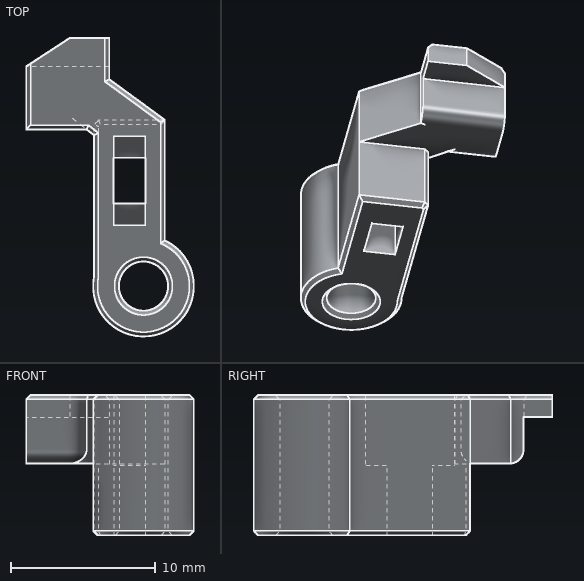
import cadquery as cq
import math

LENGTH = 20.75
WIDTH = 11.67
HEIGHT = 9.75
CHAMFER = 0.31
TOLERANCE = 0.002

RING_RADIUS = 3.5
HOLE_DIAMETER = 3.4

ARM_LEFT = -3.45
ARM_RIGHT = 1.5
ARM_BACK = 11.55

HEAD_DEPTH = 4.77
HEAD_FRONT = 10.88
HEAD_BACK = 15.25
HEAD_FILLET = 1.0
TONGUE_THICKNESS = 1.54
TONGUE_LEFT = -5.1
HEAD_RIGHT = -2.37
SHOULDER_BACK = 14.37
GUSSET_LEFT = -3.95
GUSSET_FRONT = 10.48
head_left = RING_RADIUS - WIDTH
tongue_back = LENGTH - RING_RADIUS

SLOT_LEFT = -2.08
SLOT_WIDTH = 2.2
SLOT_LENGTH = 6.19
SLOT_CENTER_Y = 7.33
SLOT_THROUGH_LENGTH = 3.18
SLOT_DEPTH = HEIGHT / 2


def hang_from_top(points, depth):
    """Extrude an outline downwards from the top face."""
    return cq.Workplane("XY").workplane(offset=HEIGHT - depth).polyline(points).close().extrude(depth)


def make_arm():
    """Full-height arm with a chamfered rear left corner."""
    arm = hang_from_top(
        [(ARM_LEFT, 0), (ARM_RIGHT, 0), (ARM_RIGHT, ARM_BACK), (ARM_LEFT, ARM_BACK)],
        HEIGHT,
    )
    ring = cq.Workplane("XY").circle(RING_RADIUS).extrude(HEIGHT)
    return arm.edges("|Z and <X and >Y").chamfer(CHAMFER).union(ring)


def make_head():
    """Head block with rounded lower edges, gusset and shoulder."""
    block = hang_from_top(
        [(head_left, HEAD_FRONT), (HEAD_RIGHT, HEAD_FRONT), (HEAD_RIGHT, HEAD_BACK), (head_left, HEAD_BACK)],
        HEAD_DEPTH,
    )
    block = block.edges("|X and <Z").fillet(HEAD_FILLET)

    gusset_slope = (GUSSET_LEFT - ARM_LEFT) / (HEAD_FRONT - GUSSET_FRONT)
    gusset_back = HEAD_FRONT + HEAD_FILLET
    gusset_back_x = ARM_LEFT + gusset_slope * (gusset_back - GUSSET_FRONT)
    root = hang_from_top(
        [
            (ARM_LEFT, GUSSET_FRONT),
            (ARM_RIGHT, GUSSET_FRONT),
            (ARM_RIGHT, ARM_BACK),
            (HEAD_RIGHT, SHOULDER_BACK),
            (gusset_back_x, SHOULDER_BACK - HEAD_FILLET),
            (gusset_back_x, gusset_back),
        ],
        HEAD_DEPTH,
    )
    tongue = hang_from_top(
        [
            (head_left, HEAD_FRONT),
            (HEAD_RIGHT, HEAD_FRONT),
            (HEAD_RIGHT, tongue_back),
            (TONGUE_LEFT, tongue_back),
            (head_left, HEAD_BACK),
        ],
        TONGUE_THICKNESS,
    )
    return block.union(root).union(tongue)


def cut_slot(body):
    """Wide pocket from the top with a shorter opening through its floor."""
    center_x = SLOT_LEFT + SLOT_WIDTH / 2
    for length, depth in ((SLOT_LENGTH, SLOT_DEPTH), (SLOT_THROUGH_LENGTH, HEIGHT)):
        cutter = (
            cq.Workplane("XY")
            .workplane(offset=HEIGHT - depth)
            .center(center_x, SLOT_CENTER_Y)
            .rect(SLOT_WIDTH, length)
            .extrude(depth)
        )
        body = body.cut(cutter)
    return body


def is_chamfered_top_edge(edge):
    """The tongue's rear and slanted edges stay sharp."""
    center = edge.Center()
    on_rear = center.y > tongue_back - TOLERANCE
    on_slant = center.y > HEAD_BACK and center.x < TONGUE_LEFT
    return not (on_rear or on_slant)


body = make_arm().union(make_head()).clean()
body = body.cut(cq.Workplane("XY").circle(HOLE_DIAMETER / 2).extrude(HEIGHT))

top_edges = body.faces(">Z").edges().filter(is_chamfered_top_edge)
bottom_edges = body.faces("<Z").edges()
body = body.newObject(top_edges.vals() + bottom_edges.vals()).chamfer(CHAMFER)

result = cut_slot(body)